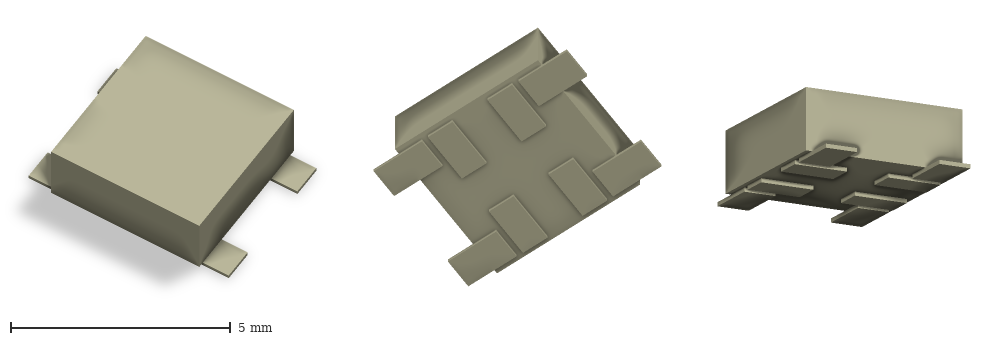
import cadquery as cq

overall_length = 5.4
body_side = 4.0
overall_height = 1.6
plate_thickness = 0.095

lead_length = 1.35
lead_width = 0.8
lead_center_y = 1.45

pad_inner_x = 0.49
pad_width = 0.685
pad_inner_y = 0.53
pad_outer_y = 1.865

SIDES = (-1, 1)
CORNERS = [(side_x, side_y) for side_x in SIDES for side_y in SIDES]


def make_plate(size_x, size_y, center_x, center_y):
    """Flat plate resting on the mounting plane Z = 0."""
    plate = cq.Workplane("XY").box(size_x, size_y, plate_thickness, centered=(True, True, False))
    return plate.translate((center_x, center_y, 0))


def make_housing():
    """Square block standing on top of the leads and pads."""
    height = overall_height - plate_thickness
    block = cq.Workplane("XY").box(body_side, body_side, height, centered=(True, True, False))
    return block.translate((0, 0, plate_thickness))


def make_lead(side_x, side_y):
    """Corner lead that starts under the housing and projects past its side along X."""
    center_x = (overall_length - lead_length) / 2
    return make_plate(lead_length, lead_width, side_x * center_x, side_y * lead_center_y)


def make_pad(side_x, side_y):
    """Pad under the housing, inboard of one lead and elongated along Y."""
    center_x = pad_inner_x + pad_width / 2
    center_y = (pad_inner_y + pad_outer_y) / 2
    return make_plate(pad_width, pad_outer_y - pad_inner_y, side_x * center_x, side_y * center_y)


housing = make_housing()
leads = [make_lead(side_x, side_y) for side_x, side_y in CORNERS]
pads = [make_pad(side_x, side_y) for side_x, side_y in CORNERS]

result = cq.Compound.makeCompound([
    housing.val(),
    *[lead.val() for lead in leads],
    *[pad.val() for pad in pads],
])